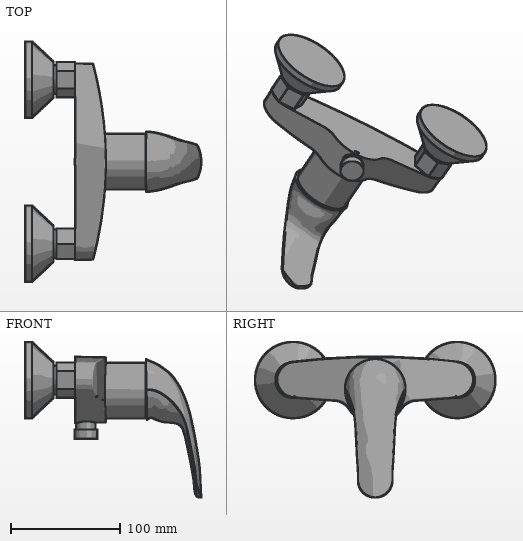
import cadquery as cq
import math


connection_spacing = 150.0
flange_radius = 35.0
flange_rim = 6.2
rosette_depth = 26.1
rosette_front_radius = 16.3
neck_radius = 26.44 / 2
nut_start = 28.5
nut_flats = 28.0
nut_corners = nut_flats / math.cos(math.pi / 6)

housing_back = 45.8
housing_front = 73.9
housing_end_front = 62.0
housing_half_length = 90.0
crown_height = 21.6
crown_radius = 596.0
waist_y = 37.5
waist_z = -19.0
end_bottom_z = -16.2
bulge_radius = 28.5
bulge_bottom = -39.5
bulge_center_z = bulge_bottom + bulge_radius
housing_draft = 1.5
front_edge_fillet = 1.2

sleeve_radius = 25.6
sleeve_center_z = -9.6
sleeve_end = 110.2

outlet_x = 55.5
outlet_radius = 20.96 / 2
outlet_neck_radius = 18.0 / 2
outlet_collar_top = -45.0
outlet_bottom = -53.8
outlet_neck_top = -33.0

lever_end_x = 161.16
lever_bottom = -107.39
lever_tip_radius = 15.9
lever_rim = 1.0
cap_rim = 0.2
rim_slope = 0.8
lever_tip_center_z = lever_bottom + lever_tip_radius


def make_connection(side, corner_angle):
    """Rosette, neck and hexagon nut as one solid, on the side given by +1 or -1."""
    profile = [
        (0, 0),
        (0, flange_radius),
        (flange_rim, flange_radius),
        (rosette_depth, rosette_front_radius),
        (rosette_depth, neck_radius),
        (nut_start, neck_radius),
        (nut_start, 0),
    ]
    rosette = cq.Workplane("XY").polyline(profile).close().revolve(360, (0, 0, 0), (1, 0, 0))
    nut = (
        cq.Workplane("YZ", origin=(nut_start, 0, 0))
        .transformed(rotate=(0, 0, corner_angle))
        .polygon(6, nut_corners)
        .extrude(housing_back - nut_start)
    )
    return rosette.union(nut).translate((0, side * connection_spacing / 2, 0))


def make_outlet():
    """Round neck with a wider collar at its lower end."""
    collar = (
        cq.Workplane("XY", origin=(outlet_x, 0, outlet_bottom))
        .circle(outlet_radius)
        .extrude(outlet_collar_top - outlet_bottom)
    )
    neck = (
        cq.Workplane("XY", origin=(outlet_x, 0, outlet_collar_top))
        .circle(outlet_neck_radius)
        .extrude(outlet_neck_top - outlet_collar_top)
    )
    return collar.union(neck)


def make_housing_bar():
    """Drafted bar with rounded ends and a round bulge below its middle."""
    end_rise = end_bottom_z - crown_height + crown_radius
    half_sum = end_rise - housing_half_length + crown_radius
    offset = housing_half_length**2 + end_rise**2 - crown_radius**2
    end_radius = math.sqrt(half_sum**2 - offset) - half_sum
    end_y = housing_half_length - end_radius
    end_z = end_bottom_z + end_radius
    crown_center_z = crown_height - crown_radius
    crown_angle = math.atan2(end_z - crown_center_z, end_y)
    shoulder_y = crown_radius * math.cos(crown_angle)
    shoulder_z = crown_center_z + crown_radius * math.sin(crown_angle)

    drop = bulge_center_z - waist_z
    waist_radius = (waist_y**2 + drop**2 - bulge_radius**2) / (2 * (bulge_radius - drop))
    waist_center_z = waist_z - waist_radius
    join_angle = math.atan2(bulge_center_z - waist_center_z, waist_y)
    join_y = bulge_radius * math.cos(join_angle)
    join_z = bulge_center_z - bulge_radius * math.sin(join_angle)
    middle_angle = (math.pi / 2 + math.pi - join_angle) / 2
    middle_y = waist_y + waist_radius * math.cos(middle_angle)
    middle_z = waist_center_z + waist_radius * math.sin(middle_angle)

    bar = (
        cq.Workplane("YZ", origin=(housing_back, 0, 0))
        .moveTo(-shoulder_y, shoulder_z)
        .threePointArc((0, crown_height), (shoulder_y, shoulder_z))
        .threePointArc((housing_half_length, end_z), (end_y, end_bottom_z))
        .lineTo(waist_y, waist_z)
        .threePointArc((middle_y, middle_z), (join_y, join_z))
        .threePointArc((0, bulge_bottom), (-join_y, join_z))
        .threePointArc((-middle_y, middle_z), (-waist_y, waist_z))
        .lineTo(-end_y, end_bottom_z)
        .threePointArc((-housing_half_length, end_z), (-shoulder_y, shoulder_z))
        .close()
        .extrude(housing_front - housing_back + front_edge_fillet, taper=housing_draft)
    )
    bow = housing_front - housing_end_front
    front_radius = (housing_half_length**2 + bow**2) / (2 * bow)
    front_envelope = (
        cq.Workplane("XY", origin=(housing_front - front_radius, 0, -2 * flange_radius))
        .circle(front_radius)
        .extrude(4 * flange_radius)
    )
    bar = bar.intersect(front_envelope)
    return bar.faces(">X").edges().fillet(front_edge_fillet)


def make_housing(outlet):
    """Bar with the cartridge sleeve and a socket for the outlet neck."""
    sleeve = (
        cq.Workplane("YZ", origin=(housing_back, 0, 0))
        .center(0, sleeve_center_z)
        .circle(sleeve_radius)
        .extrude(sleeve_end - housing_back)
    )
    return make_housing_bar().union(sleeve).cut(outlet)


def lever_section(outer, under, half_width, side_place, rim):
    """Closed wire of an arc over the lever, an arc under it and a narrow flat rim on each side.

    outer and under are the (X, Z) ends of the section in the symmetry plane.
    side_place is the place of the side edges on the way from outer to under.
    rim is how far the under arc is set in from the side edges.
    """

    def point(place, y):
        x = outer[0] + place * (under[0] - outer[0])
        z = outer[1] + place * (under[1] - outer[1])
        return cq.Vector(x, y, z)

    rim_place = side_place + rim * rim_slope / math.dist(outer, under)
    left = point(side_place, half_width)
    right = point(side_place, -half_width)
    left_rim = point(rim_place, half_width - rim)
    right_rim = point(rim_place, rim - half_width)
    return cq.Wire.assembleEdges([
        cq.Edge.makeThreePointArc(left, point(0, 0), right),
        cq.Edge.makeLine(right, right_rim),
        cq.Edge.makeThreePointArc(right_rim, point(1, 0), left_rim),
        cq.Edge.makeLine(left_rim, left),
    ])


def make_handle():
    """Round cap that flattens into a curved lever with a rounded tip."""
    sections = [
        lever_section((110.3, 19.2), (111.4, -36.4), 27.8, 0.50, cap_rim),
        lever_section((130.3, 8.2), (122.0, -37.4), 25.0, 0.47, 2 * cap_rim),
        lever_section((144.0, -11.2), (136.0, -39.3), 20.5, 0.53, 0.7 * lever_rim),
        lever_section((151.0, -31.0), (143.5, -43.8), 18.5, 0.62, lever_rim),
        lever_section((155.0, -49.5), (146.8, -54.7), 17.8, 0.62, lever_rim),
        lever_section((157.8, -66.0), (149.6, -68.8), 17.0, 0.60, lever_rim),
        lever_section((160.3, -90.0), (153.9, -91.5), 15.8, 0.60, lever_rim),
        lever_section((lever_end_x, lever_bottom), (159.2, lever_bottom), 15.4, 0.60, lever_rim),
    ]
    lever = cq.Workplane(cq.Solid.makeLoft(sections))
    tip_block = (
        cq.Workplane("YZ", origin=(housing_front, 0, 0))
        .center(0, lever_tip_center_z - lever_tip_radius)
        .rect(4 * lever_tip_radius, 2 * lever_tip_radius)
        .extrude(2 * lever_end_x)
    )
    tip_round = (
        cq.Workplane("YZ", origin=(housing_front, 0, 0))
        .center(0, lever_tip_center_z)
        .circle(lever_tip_radius)
        .extrude(2 * lever_end_x)
    )
    lever = lever.cut(tip_block.cut(tip_round))
    return lever


connections = [make_connection(side, angle) for side, angle in ((-1, 90), (1, 0))]
outlet = make_outlet()
housing = make_housing(outlet)
handle = make_handle()

result = cq.Compound.makeCompound(
    [*[connection.val() for connection in connections], housing.val(), outlet.val(), handle.val()]
)